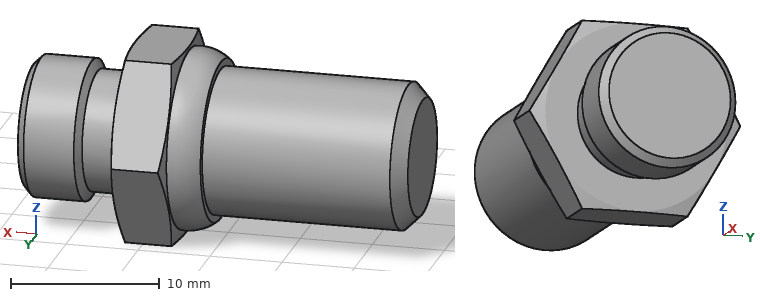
import cadquery as cq
import math

total_length = 27.0
shoulder_x = 14.0
hex_start_x = 16.2
hex_end_x = 19.98
thread_start_x = 22.57

shank_radius = 10.1 / 2
shank_chamfer = 1.0

collar_start_radius = 5.55
collar_end_radius = 6.25
collar_mid_x = 15.07
collar_mid_radius = 6.13

across_flats = 13.0
across_corners = across_flats / math.cos(math.pi / 6)
corner_chamfer_radius = 6.45
corner_chamfer_angle = math.radians(15)

neck_radius = 8.35 / 2
thread_radius = 9.72 / 2
thread_back_chamfer_length = 0.4
thread_end_chamfer = 0.55


def make_turned_body():
    """Shank, collar, neck and threaded stub revolved about the X axis."""
    profile = (
        cq.Workplane("XY")
        .lineTo(0, shank_radius - shank_chamfer)
        .lineTo(shank_chamfer, shank_radius)
        .lineTo(shoulder_x, shank_radius)
        .lineTo(shoulder_x, collar_start_radius)
        .threePointArc((collar_mid_x, collar_mid_radius), (hex_start_x, collar_end_radius))
        .lineTo(hex_start_x, neck_radius)
        .lineTo(thread_start_x, neck_radius)
        .lineTo(thread_start_x + thread_back_chamfer_length, thread_radius)
        .lineTo(total_length - thread_end_chamfer, thread_radius)
        .lineTo(total_length, thread_radius - thread_end_chamfer)
        .lineTo(total_length, 0)
        .close()
    )
    return profile.revolve(360, (0, 0, 0), (1, 0, 0))


def make_hexagon():
    """Hexagon with its corners chamfered conically on both end faces."""
    corner_radius = across_corners / 2
    chamfer_length = (corner_radius - corner_chamfer_radius) * math.tan(corner_chamfer_angle)
    prism = (
        cq.Workplane("YZ", origin=(hex_start_x, 0, 0))
        .polygon(6, across_corners)
        .extrude(hex_end_x - hex_start_x)
    )
    chamfer_envelope = (
        cq.Workplane("XY")
        .moveTo(hex_start_x, 0)
        .lineTo(hex_start_x, corner_chamfer_radius)
        .lineTo(hex_start_x + chamfer_length, corner_radius)
        .lineTo(hex_end_x - chamfer_length, corner_radius)
        .lineTo(hex_end_x, corner_chamfer_radius)
        .lineTo(hex_end_x, 0)
        .close()
        .revolve(360, (0, 0, 0), (1, 0, 0))
    )
    return prism.intersect(chamfer_envelope)


result = make_turned_body().union(make_hexagon())